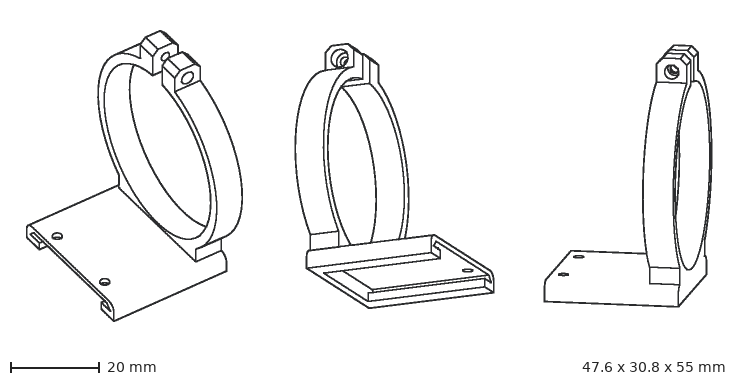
import cadquery as cq

total_height = 55
plate_length = 30.75

plate_width = 35.0
plate_height = 4.7
plate_corner_radius = 2.1
slot_opening_width = 24.75
slot_floor_width = 32.1
slot_roof_width = 29.4
lip_height = 2.0
slot_roof_height = 3.4
slot_end_wall = 2.0
plate_hole_diameter = 2.2
plate_hole_spacing = 19.05
plate_hole_inset = 2.9

ring_outer_radius = 23.8
ring_wall = 2.5
ring_inner_radius = ring_outer_radius - ring_wall
ring_depth = 7.0
ring_center_height = 26.6
ring_front = plate_length - ring_depth
foot_width = plate_width - 2 * plate_corner_radius

ear_span = 13.9
clamp_gap = 3.8
ear_chamfer = 1.5
screw_hole_diameter = 2.2
screw_drop = 3.2
screw_head_diameter = 4.1
insert_pocket_diameter = 3.2
screw_head_depth = 3.0
insert_pocket_depth = 3.95
screw_height = total_height - screw_drop
screw_y = ring_front + ring_depth / 2


def block(width, front, length, bottom, top):
    """Box centered on X = 0."""
    return (
        cq.Workplane("XY")
        .box(width, length, top - bottom, centered=(True, False, False))
        .translate((0, front, bottom))
    )


def cylinder_along_y(radius):
    """Cylinder on the ring axis, as deep as the ring."""
    axis_start = cq.Vector(0, ring_front, ring_center_height)
    return cq.Workplane(cq.Solid.makeCylinder(radius, ring_depth, axis_start, cq.Vector(0, 1, 0)))


def cylinder_along_x(diameter, start_x, length):
    """Cylinder on the clamp screw axis."""
    axis_start = cq.Vector(start_x, screw_y, screw_height)
    return cq.Workplane(cq.Solid.makeCylinder(diameter / 2, length, axis_start, cq.Vector(1, 0, 0)))


def make_plate():
    plate = block(plate_width, 0, plate_length, 0, plate_height)
    plate = plate.edges("|Y and >Z").fillet(plate_corner_radius)

    slot_length = plate_length - slot_end_wall
    opening = block(slot_opening_width, 0, slot_length, 0, slot_roof_height)
    undercut = (
        cq.Workplane("XZ")
        .polyline([
            (-slot_floor_width / 2, lip_height),
            (slot_floor_width / 2, lip_height),
            (slot_roof_width / 2, slot_roof_height),
            (-slot_roof_width / 2, slot_roof_height),
        ])
        .close()
        .extrude(-slot_length)
    )
    holes = (
        cq.Workplane("XY")
        .pushPoints([(side * plate_hole_spacing / 2, plate_hole_inset) for side in (-1, 1)])
        .circle(plate_hole_diameter / 2)
        .extrude(plate_height)
    )
    return plate.cut(opening).cut(undercut).cut(holes)


def make_clamp_ring():
    foot = block(foot_width, ring_front, ring_depth, plate_height, ring_center_height)
    ears = block(ear_span, ring_front, ring_depth, ring_center_height, total_height)
    ears = ears.edges("|X and >Z").chamfer(ear_chamfer)
    gap = block(clamp_gap, ring_front, ring_depth, ring_center_height, total_height)
    above_plate = block(2 * ring_outer_radius, ring_front, ring_depth, plate_height, total_height)
    ring = cylinder_along_y(ring_outer_radius).intersect(above_plate)
    return ring.union(foot).union(ears).cut(cylinder_along_y(ring_inner_radius)).cut(gap)


def make_screw_cutter():
    half_span = ear_span / 2
    through_hole = cylinder_along_x(screw_hole_diameter, -half_span, ear_span)
    head_recess = cylinder_along_x(screw_head_diameter, -half_span, screw_head_depth)
    insert_pocket = cylinder_along_x(insert_pocket_diameter, half_span - insert_pocket_depth, insert_pocket_depth)
    return through_hole.union(head_recess).union(insert_pocket)


result = make_plate().union(make_clamp_ring()).cut(make_screw_cutter())